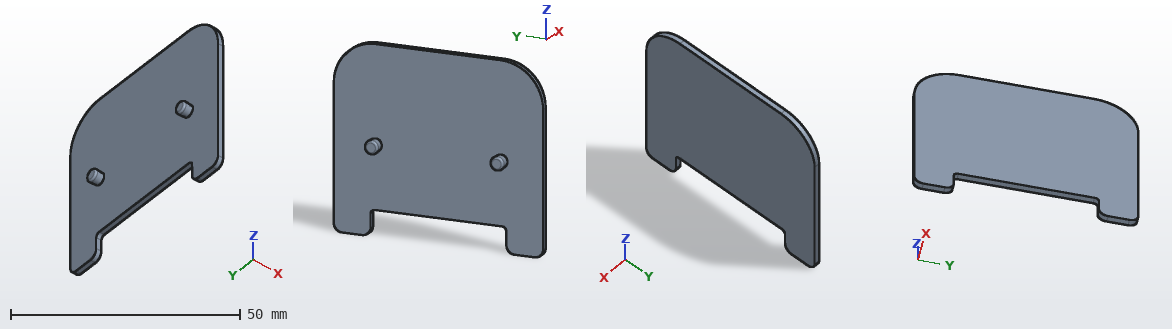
import cadquery as cq
import math

width = 50.0
height = 44.0
thickness = 1.5
top_radius = 10.0

foot_width = 8.8
notch_height = 6.1
foot_radius = 2.0
notch_radius = 1.0
notch_width = width - 2 * foot_width

peg_base_diameter = 3.0
peg_rim_diameter = 3.2
peg_length = 2.5
peg_spacing = 30.0
peg_height = 21.0
tip_radius = 0.5


def make_plate():
    """Plate with large upper corners and two rounded feet."""
    plate = cq.Workplane("XY").box(thickness, width, height, centered=(False, True, False))
    plate = plate.edges("|X and >Z").fillet(top_radius)
    notch = cq.Workplane("XY").box(thickness, notch_width, notch_height, centered=(False, True, False))
    plate = plate.cut(notch)
    plate = plate.edges("|X and <Z").fillet(foot_radius)
    middle = thickness / 2
    for side in (-1, 1):
        corner = (middle, side * notch_width / 2, notch_height)
        plate = plate.edges(cq.selectors.NearestToPointSelector(corner)).fillet(notch_radius)
    return plate


def make_peg(y):
    """Round peg pointing along -X, widening slightly up to a rounded tip."""
    base_radius = peg_base_diameter / 2
    rim_radius = peg_rim_diameter / 2
    flat_radius = rim_radius - tip_radius
    rim_x = tip_radius - peg_length
    diagonal = tip_radius * math.sqrt(0.5)
    half_profile = (
        cq.Workplane("XY")
        .lineTo(0, base_radius)
        .lineTo(rim_x, rim_radius)
        .threePointArc((rim_x - diagonal, flat_radius + diagonal), (-peg_length, flat_radius))
        .lineTo(-peg_length, 0)
        .close()
    )
    peg = half_profile.revolve(360, (0, 0, 0), (1, 0, 0))
    return peg.translate((0, y, peg_height))


result = make_plate()
for side in (-1, 1):
    result = result.union(make_peg(side * peg_spacing / 2))